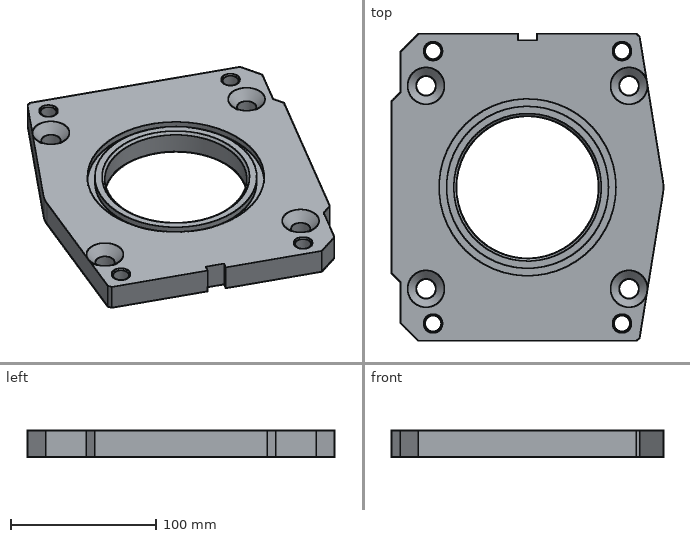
import cadquery as cq
import math

length_x = 187.32
width_y = 211.51
thickness = 18.41
left_x = -length_x / 2
right_x = length_x / 2
half_width = width_y / 2

rim_chamfer_angle = 90.0

land_width = 118.5
land_step = 6.1
corner_chamfer = 12.5

flank_end_x = 76.9
nose_radius = 25.0
right_corner_chamfer = 2.0

notch_width = 13.0
notch_depth = 4.4

bore_diameter = 97.8
bore_chamfer = 1.9
groove_outer_diameter = 121.8
groove_inner_diameter = 111.5
groove_depth = 4.76

countersunk_spacing = 139.7
countersunk_hole_diameter = 13.3
countersink_diameter = 25.4
countersink_angle = 82.0

corner_hole_spacing_x = 130.0
corner_hole_spacing_y = 187.5
corner_hole_diameter = 11.0
corner_hole_chamfer = 1.0


def make_plate():
    shoulder_x = left_x + land_step
    half_land = land_width / 2
    nose_center_x = right_x - nose_radius
    corner_offset_x = flank_end_x - nose_center_x
    corner_distance = math.hypot(corner_offset_x, half_width)
    flank_angle = math.atan2(half_width, corner_offset_x) - math.acos(nose_radius / corner_distance)
    tangent_x = nose_center_x + nose_radius * math.cos(flank_angle)
    tangent_y = nose_radius * math.sin(flank_angle)
    flank_top_x = flank_end_x + right_corner_chamfer * math.tan(flank_angle)
    flank_top_y = half_width - right_corner_chamfer
    return (
        cq.Workplane("XY")
        .moveTo(left_x, -half_land)
        .lineTo(shoulder_x, -half_land - land_step)
        .lineTo(shoulder_x, -half_width + corner_chamfer)
        .lineTo(shoulder_x + corner_chamfer, -half_width)
        .lineTo(flank_end_x - right_corner_chamfer, -half_width)
        .lineTo(flank_top_x, -flank_top_y)
        .lineTo(tangent_x, -tangent_y)
        .threePointArc((right_x, 0), (tangent_x, tangent_y))
        .lineTo(flank_top_x, flank_top_y)
        .lineTo(flank_end_x - right_corner_chamfer, half_width)
        .lineTo(shoulder_x + corner_chamfer, half_width)
        .lineTo(shoulder_x, half_width - corner_chamfer)
        .lineTo(shoulder_x, half_land + land_step)
        .lineTo(left_x, half_land)
        .close()
        .extrude(thickness)
    )


def cut_notch(plate):
    notch = (
        cq.Workplane("XY")
        .rect(notch_width, 2 * notch_depth)
        .extrude(thickness)
        .translate((0, half_width, 0))
    )
    return plate.cut(notch)


def cut_bore_and_groove(plate):
    rim_diameter = bore_diameter + 2 * bore_chamfer
    top = plate.faces(">Z").workplane(origin=(0, 0, thickness))
    plate = top.cskHole(bore_diameter, rim_diameter, rim_chamfer_angle)
    lower_rim = cq.Solid.makeCone(rim_diameter / 2, bore_diameter / 2, bore_chamfer)
    plate = plate.cut(cq.Workplane(lower_rim))
    groove = (
        cq.Workplane("XY", origin=(0, 0, thickness - groove_depth))
        .circle(groove_outer_diameter / 2)
        .circle(groove_inner_diameter / 2)
        .extrude(groove_depth)
    )
    return plate.cut(groove)


def cut_countersunk_holes(plate, spacing_x, spacing_y, hole_diameter, sink_diameter, sink_angle):
    return (
        plate.faces(">Z")
        .workplane(origin=(0, 0, thickness))
        .rect(spacing_x, spacing_y, forConstruction=True)
        .vertices()
        .cskHole(hole_diameter, sink_diameter, sink_angle)
    )


result = make_plate()
result = cut_notch(result)
result = cut_bore_and_groove(result)
result = cut_countersunk_holes(
    result,
    countersunk_spacing,
    countersunk_spacing,
    countersunk_hole_diameter,
    countersink_diameter,
    countersink_angle,
)
result = cut_countersunk_holes(
    result,
    corner_hole_spacing_x,
    corner_hole_spacing_y,
    corner_hole_diameter,
    corner_hole_diameter + 2 * corner_hole_chamfer,
    rim_chamfer_angle,
)